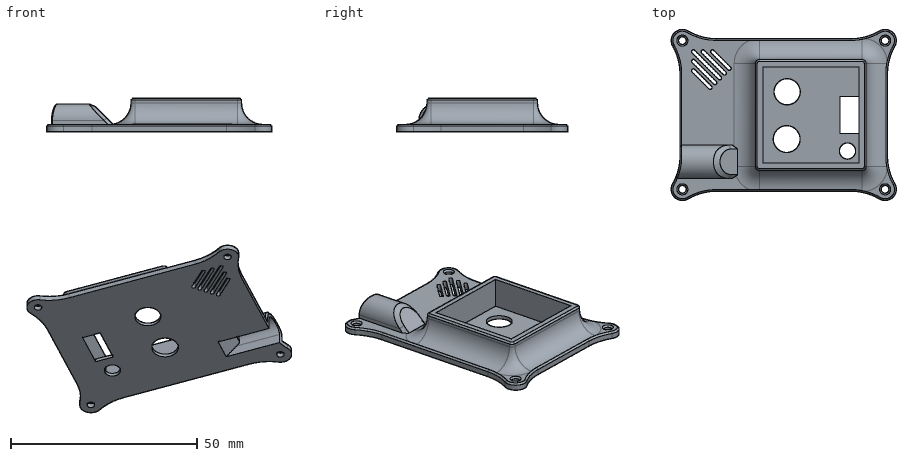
import cadquery as cq
import math

TOTAL_LENGTH = 60.5
TOTAL_WIDTH = 46.0
TOTAL_HEIGHT = 9.0

PLATE_HALF_X = 27.9
PLATE_HALF_Y = 20.5
PLATE_THICK = 2.0
EDGE_CHAMFER = 0.5
EAR_RADIUS = 3.0
EAR_X = TOTAL_LENGTH / 2 - EAR_RADIUS
EAR_Y = TOTAL_WIDTH / 2 - EAR_RADIUS
EAR_BLEND_RADIUS = 15.0
SCREW_DIAMETER = 2.0
SCREW_CHAMFER = 0.5

TOWER_X = 7.25
TOWER_SIDE = 29.75
TOWER_WALL = 2.0
TOWER_CORNER_RADIUS = 1.1
FLARE_RADIUS = 5.7
POCKET_FLOOR = 1.0
POCKET_SIDE = TOWER_SIDE - 2 * TOWER_WALL
POCKET_RIGHT = TOWER_X + POCKET_SIDE / 2

FLOOR_HOLES = [(0.9, 6.25, 6.95), (0.8, -6.5, 7.15), (17.1, -9.7, 4.3)]
WINDOW_LENGTH_X = 5.0
WINDOW_LENGTH_Y = 9.85

HUMP_Y = -12.6
HUMP_SPRING_Z = 3.0
HUMP_RADIUS = 4.5
HUMP_TOP = HUMP_SPRING_Z + HUMP_RADIUS
TUNNEL_RADIUS = 3.0
HUMP_START_X = -PLATE_HALF_X - EAR_RADIUS
HUMP_INNER_X = -PLATE_HALF_X + EDGE_CHAMFER
HUMP_TOE_X = -10.35
HUMP_SLOPE = math.radians(45)
HUMP_END_CHAMFER = 1.0
TUNNEL_END_X = -17.25
TUNNEL_STEP_Z = 3.95

SLOT_COUNT = 5
SLOT_WIDTH = 0.95
SLOT_PITCH = 1.8
SLOT_LONGEST = 10.0
SLOT_START_X = -24.25
SLOT_START_Y = 17.0


def plate_outline():
    """Closed outline: straight sides blended into round ears by tangent concave arcs."""
    reach = EAR_BLEND_RADIUS + EAR_RADIUS
    long_rise = PLATE_HALF_Y + EAR_BLEND_RADIUS - EAR_Y
    short_rise = PLATE_HALF_X + EAR_BLEND_RADIUS - EAR_X
    long_blend = (EAR_X - math.sqrt(reach**2 - long_rise**2), PLATE_HALF_Y + EAR_BLEND_RADIUS)
    short_blend = (PLATE_HALF_X + EAR_BLEND_RADIUS, EAR_Y - math.sqrt(reach**2 - short_rise**2))

    def on_ear(target):
        angle = math.atan2(target[1] - EAR_Y, target[0] - EAR_X)
        return (EAR_X + EAR_RADIUS * math.cos(angle), EAR_Y + EAR_RADIUS * math.sin(angle))

    side_end = (PLATE_HALF_X, short_blend[1])
    ear_start = on_ear(short_blend)
    ear_end = on_ear(long_blend)
    top_start = (long_blend[0], PLATE_HALF_Y)
    ear_tip = on_ear((2 * EAR_X, 2 * EAR_Y))

    def arc_middle(centre, a, b):
        dx = (a[0] + b[0]) / 2 - centre[0]
        dy = (a[1] + b[1]) / 2 - centre[1]
        stretch = EAR_BLEND_RADIUS / math.hypot(dx, dy)
        return (centre[0] + dx * stretch, centre[1] + dy * stretch)

    corner = [
        side_end,
        arc_middle(short_blend, side_end, ear_start),
        ear_start,
        ear_tip,
        ear_end,
        arc_middle(long_blend, ear_end, top_start),
        top_start,
    ]
    outline = cq.Workplane("XY").moveTo(side_end[0], -side_end[1])
    for sign_x, sign_y in [(1, 1), (-1, 1), (-1, -1), (1, -1)]:
        points = [(sign_x * x, sign_y * y) for x, y in corner]
        if sign_x != sign_y:
            points.reverse()
        outline = outline.lineTo(*points[0])
        for middle, end in [(1, 2), (3, 4), (5, 6)]:
            outline = outline.threePointArc(points[middle], points[end])
    return outline.close()


def arch(radius, start_x, length):
    """Round-topped bar along X standing on the underside plane."""
    return (
        cq.Workplane("YZ", origin=(start_x, HUMP_Y, 0))
        .moveTo(-radius, 0)
        .lineTo(-radius, HUMP_SPRING_Z)
        .threePointArc((0, HUMP_SPRING_Z + radius), (radius, HUMP_SPRING_Z))
        .lineTo(radius, 0)
        .close()
        .extrude(length)
    )


def lengthwise_block(points):
    """Block with an XZ outline, wide enough to hold the whole hump."""
    return cq.Workplane("XZ").polyline(points).close().extrude(PLATE_HALF_Y)


def cable_hump():
    """Ridge whose inner end slopes down to the plate and is chamfered all round."""
    top_x = HUMP_TOE_X - HUMP_TOP / math.tan(HUMP_SLOPE)
    profile = [(HUMP_START_X, 0), (HUMP_TOE_X, 0), (top_x, HUMP_TOP), (HUMP_START_X, HUMP_TOP)]
    ridge = arch(HUMP_RADIUS, HUMP_START_X, HUMP_TOE_X - HUMP_START_X)
    ridge = ridge.intersect(lengthwise_block(profile))
    return ridge.faces(">X").edges("not <Z").chamfer(HUMP_END_CHAMFER)


def cable_tunnel():
    """Bore open at the underside, ending in a short wall above a slope parallel to the hump's."""
    toe_x = TUNNEL_END_X + TUNNEL_STEP_Z / math.tan(HUMP_SLOPE)
    profile = [
        (HUMP_START_X, 0),
        (toe_x, 0),
        (TUNNEL_END_X, TUNNEL_STEP_Z),
        (TUNNEL_END_X, HUMP_TOP),
        (HUMP_START_X, HUMP_TOP),
    ]
    bore = arch(TUNNEL_RADIUS, HUMP_START_X, toe_x - HUMP_START_X)
    return bore.intersect(lengthwise_block(profile))


def plate_with_hump():
    """Plate and hump trimmed to one outline, its upper rim chamfered up and over the hump."""
    hump = cable_hump().intersect(plate_outline().extrude(TOTAL_HEIGHT))
    body = plate_outline().extrude(PLATE_THICK).union(hump)

    def on_upper_rim(edge):
        middle = edge.Center()
        in_hump_x = HUMP_INNER_X < middle.x < HUMP_TOE_X
        in_hump_y = abs(middle.y - HUMP_Y) < HUMP_RADIUS + EDGE_CHAMFER
        above_underside = edge.BoundingBox().zmin > PLATE_THICK / 2
        return above_underside and not (in_hump_x and in_hump_y)

    return body.edges().filter(on_upper_rim).chamfer(EDGE_CHAMFER)


def flared_tower():
    """Chamfered tower whose foot flares into a slab, trimmed inside the plate's chamfered rim."""
    slab = cq.Workplane("XY").rect(2 * TOTAL_LENGTH, 2 * TOTAL_WIDTH).extrude(PLATE_THICK)
    tower = (
        cq.Workplane("XY")
        .center(TOWER_X, 0)
        .rect(TOWER_SIDE, TOWER_SIDE)
        .extrude(TOTAL_HEIGHT)
        .edges("|Z")
        .fillet(TOWER_CORNER_RADIUS)
        .faces(">Z")
        .edges()
        .chamfer(EDGE_CHAMFER)
    )
    reach = TOWER_SIDE / 2 + EDGE_CHAMFER
    foot = cq.selectors.BoxSelector(
        (TOWER_X - reach, -reach, PLATE_THICK - EDGE_CHAMFER),
        (TOWER_X + reach, reach, PLATE_THICK + EDGE_CHAMFER),
    )
    flared = slab.union(tower).edges(foot).fillet(FLARE_RADIUS)
    return flared.intersect(plate_outline().offset2D(-EDGE_CHAMFER).extrude(TOTAL_HEIGHT))


def pocket_and_floor_openings():
    """Square pocket open at the top, with a window and round holes through its floor."""
    pocket = (
        cq.Workplane("XY", origin=(TOWER_X, 0, POCKET_FLOOR))
        .rect(POCKET_SIDE, POCKET_SIDE)
        .extrude(TOTAL_HEIGHT)
    )
    window = (
        cq.Workplane("XY")
        .center(POCKET_RIGHT - WINDOW_LENGTH_X / 2, 0)
        .rect(WINDOW_LENGTH_X, WINDOW_LENGTH_Y)
        .extrude(PLATE_THICK)
    )
    openings = pocket.union(window)
    for x, y, diameter in FLOOR_HOLES:
        openings = openings.union(cq.Workplane("XY").center(x, y).circle(diameter / 2).extrude(PLATE_THICK))
    return openings


def screw_holes():
    """Through holes with a 45 degree countersink at the plate's upper face."""
    radius = SCREW_DIAMETER / 2
    profile = [
        (0, 0),
        (radius, 0),
        (radius, PLATE_THICK - SCREW_CHAMFER),
        (radius + SCREW_CHAMFER, PLATE_THICK),
        (0, PLATE_THICK),
    ]
    hole = cq.Workplane("XZ").polyline(profile).close().revolve(360, (0, 0), (0, 1)).val()
    places = cq.Workplane("XY").rect(2 * EAR_X, 2 * EAR_Y, forConstruction=True).vertices()
    return places.eachpoint(lambda place: hole.moved(place))


def vent_slots():
    """Parallel slots running towards +X -Y; each step off the middle one starts one step later."""
    frame = cq.Plane(origin=(SLOT_START_X, SLOT_START_Y, 0), xDir=(1, -1, 0), normal=(0, 0, 1))
    slots = cq.Workplane(frame)
    for index in range(SLOT_COUNT):
        offset = (index - SLOT_COUNT // 2) * SLOT_PITCH
        span = SLOT_LONGEST - abs(offset)
        middle = SLOT_LONGEST - span / 2
        slot = cq.Workplane(frame).center(middle, offset).slot2D(span + SLOT_WIDTH, SLOT_WIDTH)
        slots = slots.add(slot.extrude(PLATE_THICK))
    return slots.combine()


result = (
    plate_with_hump()
    .union(flared_tower())
    .cut(pocket_and_floor_openings())
    .cut(cable_tunnel())
    .cut(screw_holes())
    .cut(vent_slots())
)